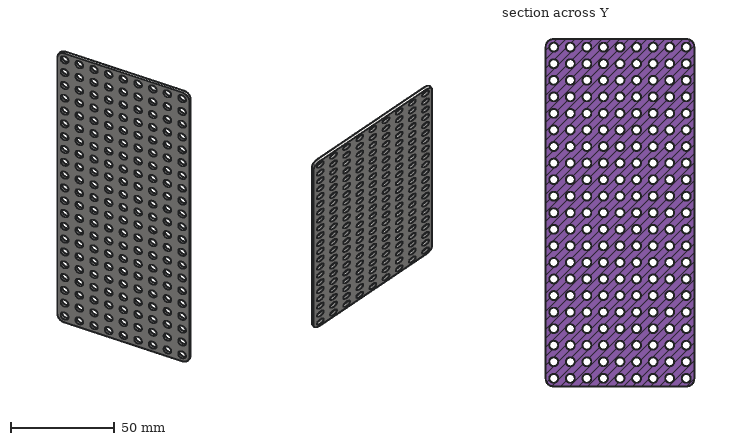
import cadquery as cq

height = 168.0
columns = 9
rows = 21
thickness = 1.6
hole_diameter = 4.2

pitch = height / rows
width = columns * pitch
corner_radius = pitch / 2


def make_plate():
    """Thin upright plate with rounded corners, centred on the origin."""
    plate = cq.Workplane("XY").box(width, thickness, height)
    return plate.edges("|Y").fillet(corner_radius)


def make_hole_cutters():
    """Grid of cylinders reaching through the full thickness of the plate."""
    return (
        cq.Workplane("XZ")
        .rarray(pitch, pitch, columns, rows)
        .circle(hole_diameter / 2)
        .extrude(thickness, both=True)
    )


result = make_plate().cut(make_hole_cutters())